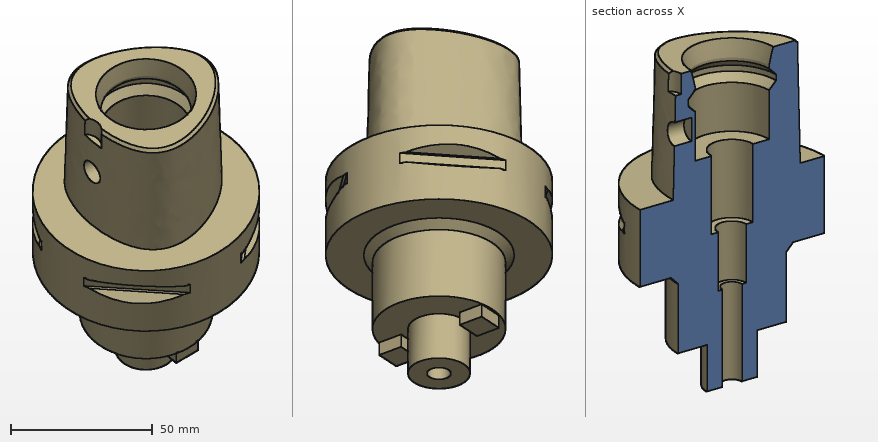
import cadquery as cq
import math


TOTAL_HEIGHT = 126.0
PILOT_LENGTH = 18.0
BODY_LENGTH = 27.0
NECK_LENGTH = 3.0
SHANK_LENGTH = 48.0
BODY_BOTTOM = PILOT_LENGTH
NECK_BOTTOM = BODY_BOTTOM + BODY_LENGTH
FLANGE_BOTTOM = NECK_BOTTOM + NECK_LENGTH
FLANGE_TOP = TOTAL_HEIGHT - SHANK_LENGTH

PILOT_RADIUS = 21.9 / 2
BODY_RADIUS = 47.0 / 2
NECK_TOP_RADIUS = BODY_RADIUS + NECK_LENGTH
FLANGE_RADIUS = 80.0 / 2

SHANK_BASE_RADIUS = 27.7
LOBE_COUNT = 3
LOBE_HEIGHT = 2.0
SHOULDER_FULLNESS = 0.1
OUTLINE_POINTS = 60
SHANK_SLOPE = 1 / 40
SHANK_CHAMFER = 1.1

BORE_RADIUS = 31.9 / 2
BORE_MOUTH_RADIUS = 35.4 / 2
BORE_MOUTH_DEPTH = 6.8
GROOVE_DEPTH = 8.1
GROOVE_FLOOR_DEPTH = 11.1
GROOVE_FLOOR_WIDTH = 2.3
GROOVE_RADIUS = BORE_RADIUS + GROOVE_FLOOR_DEPTH - GROOVE_DEPTH
BORE_DEPTH = 35.3
SCREW_BORE_RADIUS = 17.9 / 2
SCREW_BORE_DEPTH = 65.5
COOLANT_BORE_RADIUS = 12.0 / 2
COOLANT_BORE_DEPTH = 88.2
THROUGH_RADIUS = 8.5 / 2

NOTCH_RADIUS = 6.0
NOTCH_INNER_Y = -22.2
NOTCH_DEPTH = 8.0
PIN_HOLE_RADIUS = 9.0 / 2
PIN_HOLE_Z = 103.2
PIN_HOLE_FLOOR_Y = -17.6

GRIP_COUNT = 4
GRIP_Z = 66.0
GRIP_LENGTH = 37.7
GRIP_FLOOR_WIDTH = 4.0
GRIP_MOUTH_WIDTH = 8.8
GRIP_FLARE_DEPTH = 3.7

KEY_HEIGHT = 5.0
KEY_WIDTH = 10.1
KEY_INNER_X = 13.0
KEY_OUTER_X = 22.7


def revolve_profile(points):
    """Solid of revolution about Z from (radius, height) points."""
    return cq.Workplane("XZ").polyline(points).close().revolve(360, (0, 0, 0), (0, 1, 0))


def lobed_point(mean_radius, angle):
    """Point of the lobed outline whose outward normal has the given angle; one lobe points to +Y."""
    phase = LOBE_COUNT * (angle - math.pi / 2)
    reach = mean_radius + LOBE_HEIGHT * math.cos(phase) - SHOULDER_FULLNESS * math.cos(2 * phase)
    reach_rate = LOBE_COUNT * (
        2 * SHOULDER_FULLNESS * math.sin(2 * phase) - LOBE_HEIGHT * math.sin(phase)
    )
    x = reach * math.cos(angle) - reach_rate * math.sin(angle)
    y = reach * math.sin(angle) + reach_rate * math.cos(angle)
    return x, y


def lobed_section(mean_radius):
    """Points around the lobed outline, starting at the middle of the -Y flank."""
    step = 2 * math.pi / OUTLINE_POINTS
    return [lobed_point(mean_radius, i * step - math.pi / 2) for i in range(OUTLINE_POINTS)]


def lobed_loft(bottom_z, bottom_radius, top_z, top_radius):
    """Straight-sided solid between two lobed outlines."""
    return (
        cq.Workplane("XY", origin=(0, 0, bottom_z))
        .spline(lobed_section(bottom_radius), periodic=True)
        .close()
        .workplane(offset=top_z - bottom_z)
        .spline(lobed_section(top_radius), periodic=True)
        .close()
        .loft(ruled=True)
    )


def make_turned_body():
    return revolve_profile([
        (0, 0),
        (PILOT_RADIUS, 0),
        (PILOT_RADIUS, BODY_BOTTOM),
        (BODY_RADIUS, BODY_BOTTOM),
        (BODY_RADIUS, NECK_BOTTOM),
        (NECK_TOP_RADIUS, FLANGE_BOTTOM),
        (FLANGE_RADIUS, FLANGE_BOTTOM),
        (FLANGE_RADIUS, FLANGE_TOP),
        (0, FLANGE_TOP),
    ])


def make_shank():
    chamfer_z = TOTAL_HEIGHT - SHANK_CHAMFER
    chamfer_radius = SHANK_BASE_RADIUS - SHANK_SLOPE * (chamfer_z - FLANGE_TOP)
    tapered = lobed_loft(FLANGE_TOP, SHANK_BASE_RADIUS, chamfer_z, chamfer_radius)
    tip = lobed_loft(chamfer_z, chamfer_radius, TOTAL_HEIGHT, chamfer_radius - SHANK_CHAMFER)
    return tapered.union(tip)


def make_bore():
    groove_floor_z = TOTAL_HEIGHT - GROOVE_FLOOR_DEPTH
    groove_floor_end_z = groove_floor_z - GROOVE_FLOOR_WIDTH
    bore_floor_z = TOTAL_HEIGHT - BORE_DEPTH
    screw_floor_z = TOTAL_HEIGHT - SCREW_BORE_DEPTH
    coolant_floor_z = TOTAL_HEIGHT - COOLANT_BORE_DEPTH
    return revolve_profile([
        (0, TOTAL_HEIGHT),
        (BORE_MOUTH_RADIUS, TOTAL_HEIGHT),
        (BORE_RADIUS, TOTAL_HEIGHT - BORE_MOUTH_DEPTH),
        (BORE_RADIUS, TOTAL_HEIGHT - GROOVE_DEPTH),
        (GROOVE_RADIUS, groove_floor_z),
        (GROOVE_RADIUS, groove_floor_end_z),
        (BORE_RADIUS, groove_floor_end_z - (GROOVE_RADIUS - BORE_RADIUS)),
        (BORE_RADIUS, bore_floor_z),
        (SCREW_BORE_RADIUS, bore_floor_z),
        (SCREW_BORE_RADIUS, screw_floor_z),
        (COOLANT_BORE_RADIUS, screw_floor_z),
        (COOLANT_BORE_RADIUS, coolant_floor_z),
        (THROUGH_RADIUS, coolant_floor_z),
        (THROUGH_RADIUS, 0),
        (0, 0),
    ])


def make_notch():
    return (
        cq.Workplane("XY", origin=(0, NOTCH_INNER_Y - NOTCH_RADIUS, TOTAL_HEIGHT - NOTCH_DEPTH))
        .circle(NOTCH_RADIUS)
        .extrude(NOTCH_DEPTH)
    )


def make_pin_hole():
    return (
        cq.Workplane("XZ", origin=(0, PIN_HOLE_FLOOR_Y, PIN_HOLE_Z))
        .circle(PIN_HOLE_RADIUS)
        .extrude(FLANGE_RADIUS + PIN_HOLE_FLOOR_Y)
    )


def make_grip_groove():
    """Groove on the +X side: a narrow flat floor with sides that flare outwards."""
    floor_x = math.sqrt(FLANGE_RADIUS**2 - (GRIP_LENGTH / 2) ** 2)
    flare_x = FLANGE_RADIUS - GRIP_FLARE_DEPTH
    half_floor = GRIP_FLOOR_WIDTH / 2
    half_mouth = GRIP_MOUTH_WIDTH / 2
    return (
        cq.Workplane("XZ", origin=(0, 0, GRIP_Z))
        .polyline([
            (floor_x, -half_floor),
            (flare_x, -half_floor),
            (FLANGE_RADIUS, -half_mouth),
            (FLANGE_RADIUS, half_mouth),
            (flare_x, half_floor),
            (floor_x, half_floor),
        ])
        .close()
        .extrude(GRIP_LENGTH / 2, both=True)
    )


def make_drive_key():
    """Key on the +X side, hanging under the body."""
    return cq.Workplane("XY").box(
        KEY_OUTER_X - KEY_INNER_X, KEY_WIDTH, KEY_HEIGHT, centered=(False, True, False)
    ).translate((KEY_INNER_X, 0, BODY_BOTTOM - KEY_HEIGHT))


part = make_turned_body().union(make_shank())
for key_angle in (0, 180):
    part = part.union(make_drive_key().rotate((0, 0, 0), (0, 0, 1), key_angle))

part = part.cut(make_bore()).cut(make_notch()).cut(make_pin_hole())
for i in range(GRIP_COUNT):
    groove_angle = (i + 0.5) * 360 / GRIP_COUNT
    part = part.cut(make_grip_groove().rotate((0, 0, 0), (0, 0, 1), groove_angle))

result = part